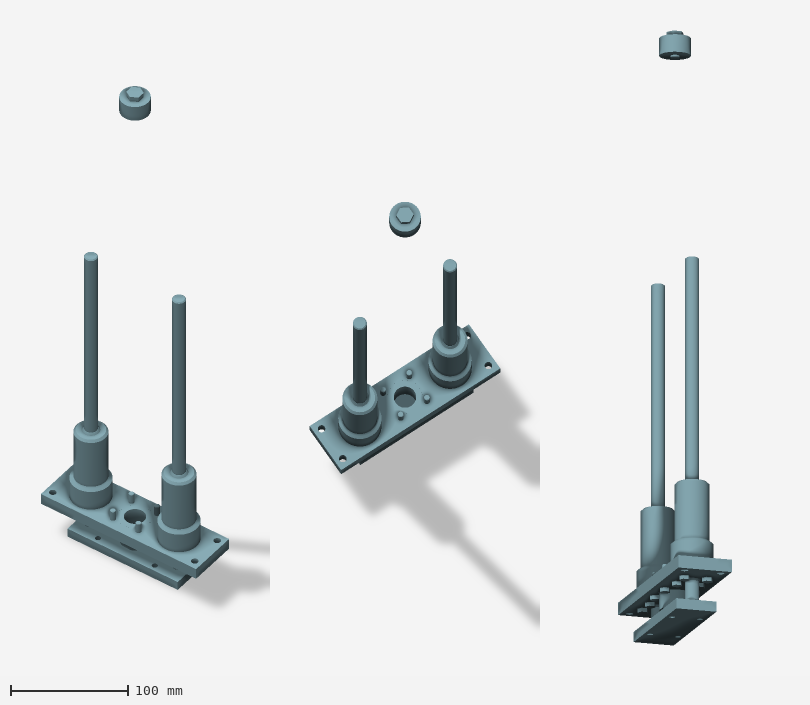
import cadquery as cq
import math

OVERALL_HEIGHT = 525.8

YOKE_LENGTH = 116.5
YOKE_WIDTH = 36.0
YOKE_THICKNESS = 9.0
YOKE_HOLE_DIAMETER = 5.2
YOKE_HOLE_SPACING_X = 60.0
YOKE_HOLE_SPACING_Y = 25.0

ROD_SPACING = 93.0
ROD_DIAMETER = 12.0
ROD_TOP_Z = 314.5
ROD_CHAMFER = 1.0

PLATE_LENGTH = 164.0
PLATE_WIDTH = 48.0
PLATE_THICKNESS = 11.0
PLATE_GAP = 20.5
PLATE_HOLE_DIAMETER = 6.5
PLATE_HOLE_SPACING_X = 150.0
PLATE_HOLE_SPACING_Y = 32.5
PLATE_BORE_DIAMETER = 30.0

BUSHING_BASE_DIAMETER = 37.0
BUSHING_BASE_HEIGHT = 20.0
BUSHING_DIAMETER = 30.0
BUSHING_SHOULDER_HEIGHT = 3.0
BUSHING_HEIGHT = 75.0
BUSHING_CHAMFER = 2.0

LIP_BASE_DIAMETER = 16.0
LIP_TIP_DIAMETER = 12.6
UPPER_LIP_HEIGHT = 2.0
LOWER_LIP_HEIGHT = 1.5

SCREW_DIAMETER = 5.0
SCREW_TIP_DIAMETER = 4.13
SCREW_HEAD_FLATS = 8.0
SCREW_HEAD_HEIGHT = 3.5
MOUNT_SCREW_SPACING = 27.0
MOUNT_SCREW_PROTRUSION = 10.0
BUSHING_SCREW_SPACING = 20.5

NECK_DIAMETER = 17.0
NECK_HEIGHT = 5.5
COUPLER_DIAMETER = 27.0
COUPLER_COLLAR_DIAMETER = 29.96
COUPLER_BORE_DIAMETER = 19.0
COUPLER_BORE_DEPTH = 20.0

CAP_DIAMETER = 27.0
CAP_HEIGHT = 15.5
CAP_HEX_FLATS = 13.0
CAP_HEX_HEIGHT = 5.0
CAP_STUB_DIAMETER = 8.0
CAP_STUB_HEIGHT = 1.5

HEXAGON_SIDES = 6

PLATE_BOTTOM_Z = YOKE_THICKNESS + PLATE_GAP
PLATE_TOP_Z = PLATE_BOTTOM_Z + PLATE_THICKNESS
BUSHING_TOP_Z = PLATE_TOP_Z + BUSHING_HEIGHT
COUPLER_BOTTOM_Z = YOKE_THICKNESS + NECK_HEIGHT
CAP_BOTTOM_Z = OVERALL_HEIGHT - CAP_HEX_HEIGHT - CAP_HEIGHT - CAP_STUB_HEIGHT
ROD_CENTRES = [(-ROD_SPACING / 2, 0), (ROD_SPACING / 2, 0)]


def rectangle_corners(spacing_x, spacing_y, centre=(0, 0)):
    """Four points at the corners of a rectangle around a centre."""
    return [
        (centre[0] + sx * spacing_x / 2, centre[1] + sy * spacing_y / 2)
        for sx in (-1, 1)
        for sy in (-1, 1)
    ]


def box_at(length, width, bottom_z, top_z):
    """Block centred on the Z axis between two levels."""
    return cq.Workplane("XY").workplane(offset=bottom_z).rect(length, width).extrude(top_z - bottom_z)


def cylinders(points, diameter, bottom_z, top_z):
    """Upright cylinders on the given points between two levels."""
    plane = cq.Workplane("XY").workplane(offset=bottom_z).pushPoints(points)
    return plane.circle(diameter / 2).extrude(top_z - bottom_z)


def cone_at(centre, bottom_diameter, top_diameter, bottom_z, top_z):
    """Upright truncated cone between two levels."""
    profile = [
        (0, bottom_z),
        (bottom_diameter / 2, bottom_z),
        (top_diameter / 2, top_z),
        (0, top_z),
    ]
    cone = cq.Workplane("XZ").polyline(profile).close().revolve(360, (0, 0, 0), (0, 1, 0))
    return cone.translate((centre[0], centre[1], 0))


def hexagon_at(centre, across_flats, bottom_z, top_z):
    """Upright hexagonal prism with two corners on the Y direction."""
    half_sector = 180 / HEXAGON_SIDES
    across_corners = across_flats / math.cos(math.radians(half_sector))
    prism = cq.Workplane("XY").polygon(HEXAGON_SIDES, across_corners).extrude(top_z - bottom_z)
    prism = prism.rotate((0, 0, 0), (0, 0, 1), half_sector)
    return prism.translate((centre[0], centre[1], bottom_z))


def make_bushing(centre):
    """Stepped guide bushing on the plate, with a sealing lip at each end."""
    cone_bottom_z = PLATE_TOP_Z + BUSHING_BASE_HEIGHT
    cone_top_z = cone_bottom_z + BUSHING_SHOULDER_HEIGHT
    upper_lip_z = BUSHING_TOP_Z + UPPER_LIP_HEIGHT
    lower_lip_z = PLATE_BOTTOM_Z - LOWER_LIP_HEIGHT

    sleeve = cylinders([centre], BUSHING_DIAMETER, PLATE_TOP_Z, BUSHING_TOP_Z)
    sleeve = sleeve.faces(">Z").chamfer(BUSHING_CHAMFER)
    base = cylinders([centre], BUSHING_BASE_DIAMETER, PLATE_TOP_Z, cone_bottom_z)
    shoulder = cone_at(centre, BUSHING_BASE_DIAMETER, BUSHING_DIAMETER, cone_bottom_z, cone_top_z)
    upper_lip = cone_at(centre, LIP_BASE_DIAMETER, LIP_TIP_DIAMETER, BUSHING_TOP_Z, upper_lip_z)
    lower_lip = cone_at(centre, LIP_TIP_DIAMETER, LIP_BASE_DIAMETER, lower_lip_z, PLATE_BOTTOM_Z)
    return sleeve.union(base).union(shoulder).union(upper_lip).union(lower_lip)


def make_screw_head(centre):
    """Hexagonal screw head hanging below the plate."""
    return hexagon_at(centre, SCREW_HEAD_FLATS, PLATE_BOTTOM_Z - SCREW_HEAD_HEIGHT, PLATE_BOTTOM_Z)


def make_screw_shank(centre):
    """Screw end standing above the plate, with a chamfered tip."""
    tip_z = PLATE_TOP_Z + MOUNT_SCREW_PROTRUSION
    tip_chamfer = (SCREW_DIAMETER - SCREW_TIP_DIAMETER) / 2
    return cylinders([centre], SCREW_DIAMETER, PLATE_TOP_Z, tip_z).faces(">Z").chamfer(tip_chamfer)


def make_housing():
    """Guide plate with both bushings and all the fixing screws."""
    housing = box_at(PLATE_LENGTH, PLATE_WIDTH, PLATE_BOTTOM_Z, PLATE_TOP_Z)
    corner_holes = rectangle_corners(PLATE_HOLE_SPACING_X, PLATE_HOLE_SPACING_Y)
    housing = housing.cut(cylinders(corner_holes, PLATE_HOLE_DIAMETER, PLATE_BOTTOM_Z, PLATE_TOP_Z))
    housing = housing.cut(cylinders([(0, 0)], PLATE_BORE_DIAMETER, PLATE_BOTTOM_Z, PLATE_TOP_Z))

    for point in rectangle_corners(MOUNT_SCREW_SPACING, MOUNT_SCREW_SPACING):
        housing = housing.union(make_screw_head(point))
        housing = housing.union(make_screw_shank(point))

    for centre in ROD_CENTRES:
        housing = housing.union(make_bushing(centre))
        for point in rectangle_corners(BUSHING_SCREW_SPACING, BUSHING_SCREW_SPACING, centre):
            housing = housing.union(make_screw_head(point))

    return housing.cut(cylinders(ROD_CENTRES, ROD_DIAMETER, 0, ROD_TOP_Z))


def make_coupler():
    """Hollow coupler on a neck, its collar flush with the top of the plate."""
    coupler = cylinders([(0, 0)], NECK_DIAMETER, YOKE_THICKNESS, COUPLER_BOTTOM_Z)
    coupler = coupler.union(cylinders([(0, 0)], COUPLER_DIAMETER, COUPLER_BOTTOM_Z, PLATE_BOTTOM_Z))
    coupler = coupler.union(cylinders([(0, 0)], COUPLER_COLLAR_DIAMETER, PLATE_BOTTOM_Z, PLATE_TOP_Z))
    bore_floor_z = PLATE_TOP_Z - COUPLER_BORE_DEPTH
    return coupler.cut(cylinders([(0, 0)], COUPLER_BORE_DIAMETER, bore_floor_z, PLATE_TOP_Z))


def make_yoke():
    """Yoke plate carrying the two guide rods and the coupler."""
    yoke = box_at(YOKE_LENGTH, YOKE_WIDTH, 0, YOKE_THICKNESS)
    holes = rectangle_corners(YOKE_HOLE_SPACING_X, YOKE_HOLE_SPACING_Y)
    yoke = yoke.cut(cylinders(holes, YOKE_HOLE_DIAMETER, 0, YOKE_THICKNESS))
    rods = cylinders(ROD_CENTRES, ROD_DIAMETER, YOKE_THICKNESS, ROD_TOP_Z)
    rods = rods.faces(">Z").chamfer(ROD_CHAMFER)
    return yoke.union(rods).union(make_coupler())


def make_cap():
    """Separate round cap with a hexagon on top and a short stub below."""
    body_bottom_z = CAP_BOTTOM_Z + CAP_STUB_HEIGHT
    body_top_z = body_bottom_z + CAP_HEIGHT
    cap = cylinders([(0, 0)], CAP_DIAMETER, body_bottom_z, body_top_z)
    cap = cap.union(cylinders([(0, 0)], CAP_STUB_DIAMETER, CAP_BOTTOM_Z, body_bottom_z))
    return cap.union(hexagon_at((0, 0), CAP_HEX_FLATS, body_top_z, OVERALL_HEIGHT))


housing = make_housing()
yoke = make_yoke()
cap = make_cap()

result = cq.Compound.makeCompound([housing.val(), yoke.val(), cap.val()])